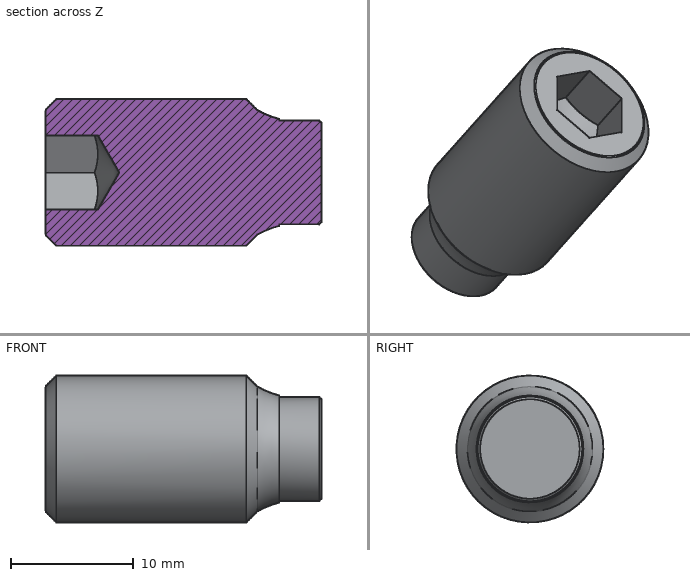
import cadquery as cq
import math

length = 22.5
body_diameter = 12.0
body_radius = body_diameter / 2
body_end = 16.35
body_chamfer = 0.9
rim_break_length = 0.05
rim_break_height = 0.14
neck_end = 19.05
neck_radius = 4.36
neck_sag = 0.07
tip_radius = 4.25
tip_chamfer = 0.2
socket_width = 6.0
socket_depth = 4.0
socket_cone_angle = 120.0


def make_body():
    """Revolve the chamfered body, concave neck and stepped tip."""
    neck_start = body_end + body_chamfer
    neck_start_radius = body_radius - body_chamfer
    rim_radius = neck_start_radius + rim_break_length

    neck_middle = (
        (neck_start + neck_end) / 2,
        (neck_start_radius + neck_radius) / 2 - neck_sag,
    )
    return (
        cq.Workplane("XY")
        .moveTo(0, 0)
        .lineTo(0, rim_radius - rim_break_height)
        .lineTo(rim_break_length, rim_radius)
        .lineTo(body_chamfer, body_radius)
        .lineTo(body_end, body_radius)
        .lineTo(neck_start, neck_start_radius)
        .threePointArc(neck_middle, (neck_end, neck_radius))
        .lineTo(neck_end, tip_radius)
        .lineTo(length - tip_chamfer, tip_radius)
        .lineTo(length, tip_radius - tip_chamfer)
        .lineTo(length, 0)
        .close()
        .revolve(360, (0, 0, 0), (1, 0, 0))
    )


def make_socket():
    """Hexagonal socket with two flats facing Y and a conical floor."""
    corner_radius = socket_width / math.sqrt(3)
    cone_depth = corner_radius / math.tan(math.radians(socket_cone_angle / 2))
    drill_shoulder = socket_depth + cone_depth * (1 - body_radius / corner_radius)
    hexagon = (
        cq.Workplane("YZ")
        .polygon(6, 2 * corner_radius)
        .extrude(socket_depth + cone_depth)
        .rotate((0, 0, 0), (1, 0, 0), 30)
    )
    drill = (
        cq.Workplane("XY")
        .moveTo(0, 0)
        .lineTo(0, body_radius)
        .lineTo(drill_shoulder, body_radius)
        .lineTo(socket_depth + cone_depth, 0)
        .close()
        .revolve(360, (0, 0, 0), (1, 0, 0))
    )
    return hexagon.intersect(drill)


result = make_body().cut(make_socket())